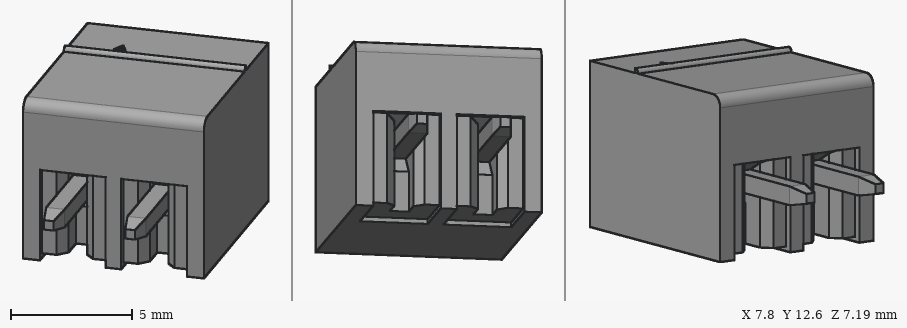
import cadquery as cq
import math

OVERALL_LENGTH = 12.6
BODY_WIDTH = 7.8
BODY_DEPTH = 9.2
BODY_HEIGHT = 6.99
FRONT_EDGE_RADIUS = 0.5

RIB_RADIUS = 0.2
RIB_INSET = 3.2
RIB_BACK_Y = BODY_DEPTH - RIB_INSET

PIN_PITCH = 3.5
PIN_SIZE = 0.8
PIN_CENTER_Z = 2.99
PIN_TIP_SIZE = 0.42
PIN_TAPER_LENGTH = 0.95
PIN_REACH = OVERALL_LENGTH - BODY_DEPTH
PIN_EMBEDDED_LENGTH = 3.78
PIN_TOP_Z = PIN_CENTER_Z + PIN_SIZE / 2
PIN_BOTTOM_Z = PIN_CENTER_Z - PIN_SIZE / 2
PIN_XS = (-PIN_PITCH / 2, PIN_PITCH / 2)

SLOT_WIDTH = 2.84
SLOT_HEIGHT = 4.01
SLOT_RECESS_DEPTH = 0.3
FUNNEL_WIDTH = 1.58
FUNNEL_DEPTH = 0.42
ROOF_RUN = 1.1
POCKET_DEPTH = 1.76
RAMP_BOTTOM_Z = 1.89
RAMP_RUN = PIN_BOTTOM_Z - RAMP_BOTTOM_Z

CHANNEL_HEIGHT = 0.2
CHANNEL_DEPTH = 3.02

MARK_WIDTH = 0.49
MARK_LENGTH = 0.52
MARK_DEPTH = 0.1
MARK_INSET = 2.52
MARK_BASE_Y = BODY_DEPTH - MARK_INSET


def front_block(center_x, width, depth, height):
    """Block reaching back from the front face and up from the underside."""
    block = cq.Workplane("XY").box(width, depth, height, centered=(True, False, False))
    return block.translate((center_x, 0, 0))


def make_body():
    body = front_block(0, BODY_WIDTH, BODY_DEPTH, BODY_HEIGHT)
    return body.edges("<Y and >Z").fillet(FRONT_EDGE_RADIUS)


def make_rib():
    """Upright back face, rounded towards the front."""
    arc_offset = RIB_RADIUS * math.cos(math.pi / 4)
    arc_middle = (RIB_BACK_Y - arc_offset, BODY_HEIGHT + arc_offset)
    return (
        cq.Workplane("YZ")
        .moveTo(RIB_BACK_Y, BODY_HEIGHT)
        .lineTo(RIB_BACK_Y, BODY_HEIGHT + RIB_RADIUS)
        .threePointArc(arc_middle, (RIB_BACK_Y - RIB_RADIUS, BODY_HEIGHT))
        .close()
        .extrude(BODY_WIDTH / 2, both=True)
    )


def make_pocket():
    """Funnel that narrows to the pin width, under a sloping roof and above a sloping ramp."""
    funnel_end_y = SLOT_RECESS_DEPTH + FUNNEL_DEPTH
    ramp_top_y = POCKET_DEPTH + RAMP_RUN
    plan = (
        cq.Workplane("XY")
        .polyline([
            (-FUNNEL_WIDTH / 2, SLOT_RECESS_DEPTH),
            (FUNNEL_WIDTH / 2, SLOT_RECESS_DEPTH),
            (PIN_SIZE / 2, funnel_end_y),
            (PIN_SIZE / 2, ramp_top_y),
            (-PIN_SIZE / 2, ramp_top_y),
            (-PIN_SIZE / 2, funnel_end_y),
        ])
        .close()
        .extrude(SLOT_HEIGHT)
    )
    side = (
        cq.Workplane("YZ")
        .polyline([
            (SLOT_RECESS_DEPTH, 0),
            (SLOT_RECESS_DEPTH, SLOT_HEIGHT),
            (SLOT_RECESS_DEPTH + ROOF_RUN, PIN_TOP_Z),
            (SLOT_RECESS_DEPTH + ROOF_RUN, PIN_BOTTOM_Z),
            (ramp_top_y, PIN_BOTTOM_Z),
            (POCKET_DEPTH, RAMP_BOTTOM_Z),
            (POCKET_DEPTH, 0),
        ])
        .close()
        .extrude(FUNNEL_WIDTH / 2, both=True)
    )
    return plan.intersect(side)


def make_slot(center_x):
    recess = front_block(center_x, SLOT_WIDTH, SLOT_RECESS_DEPTH, SLOT_HEIGHT)
    channel = front_block(center_x, SLOT_WIDTH, CHANNEL_DEPTH, CHANNEL_HEIGHT)
    return recess.union(channel).union(make_pocket().translate((center_x, 0, 0)))


def make_pin(center_x):
    """Square pin with a tapered tip, anchored inside the body."""
    shaft_length = PIN_EMBEDDED_LENGTH + PIN_REACH - PIN_TAPER_LENGTH
    shaft = cq.Workplane("XZ").rect(PIN_SIZE, PIN_SIZE).extrude(shaft_length)
    tip = (
        shaft.faces("<Y").workplane()
        .rect(PIN_SIZE, PIN_SIZE)
        .workplane(offset=PIN_TAPER_LENGTH)
        .rect(PIN_TIP_SIZE, PIN_TIP_SIZE)
        .loft(combine=False)
    )
    return shaft.union(tip).translate((center_x, PIN_EMBEDDED_LENGTH, PIN_CENTER_Z))


def make_mark(center_x):
    return (
        cq.Workplane("XY", origin=(center_x, MARK_BASE_Y, BODY_HEIGHT - MARK_DEPTH))
        .polyline([(-MARK_WIDTH / 2, 0), (MARK_WIDTH / 2, 0), (0, MARK_LENGTH)])
        .close()
        .extrude(MARK_DEPTH)
    )


result = make_body().union(make_rib()).cut(make_mark(PIN_XS[0]))
for pin_x in PIN_XS:
    result = result.cut(make_slot(pin_x))
for pin_x in PIN_XS:
    result = result.union(make_pin(pin_x))